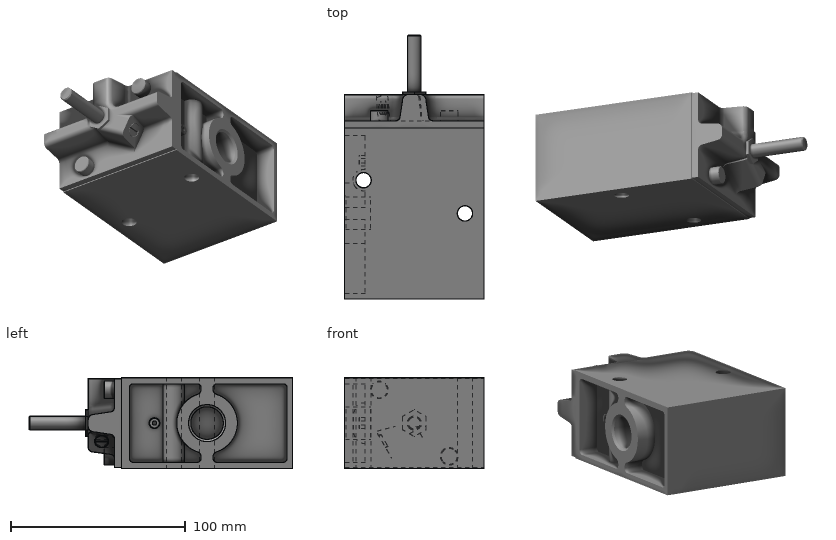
import math

import cadquery as cq

width = 80.0
body_length = 98.0
body_height = 52.0

lid_thickness = 4.0
lid_width = 79.8
lid_height = 51.0
rib_height = 15.0
rib_draft = 8.5
x_rib_half_width = 4.5
z_rib_half_width = 6.2
rib_corner_crest_radius = 5.8
rib_corner_root_radius = 4.8
rib_crest_radius = 3.0
rib_root_radius = 2.5
screw_rib_angle = 30.0
screw_rib_reach = 21.2
screw_rib_half_width = 6.5

slotted_screw_diameter = 7.48
slotted_screw_bore = 8.0
slotted_screw_y = 109.3
slotted_screw_groove_depth = 1.5
slot_width = 0.8
slot_depth = 1.5

lid_screw_diameter = 10.0
lid_screw_head_height = 6.0
lid_screw_x = 20.0
lid_screw_z = 19.0
lid_screw_chamfer = 0.4

overall_length = 151.0
rod_diameter = 8.0
rod_chamfer = 0.6
collar_across_corners = 15.3
collar_height = 1.5

mounting_hole_diameter = 8.6
mounting_hole_x = 29.0
mounting_hole_y = (68.0, 49.0)
hole_sleeve_diameter = 12.2

pocket_depth = 11.8
pocket_wall = 3.5
pocket_y_start = 3.2
pocket_y_end = 93.5
pocket_corner_radius = 2.4

port_y = body_length / 2
port_boss_diameter = 34.7
port_thread_diameter = 18.63
port_chamfer_diameter = 21.2
port_chamfer_depth = 1.0
port_depth = 15.0
port_web_width = 6.8
web_corner_radius = 3.0

nozzle_y = 79.1
nozzle_diameter = 6.15
nozzle_bore_diameter = 2.46
nozzle_height = 3.4
nozzle_chamfer = 0.3

edge_tolerance = 0.1

side_x = -width / 2
pocket_floor_x = side_x + pocket_depth
lid_top_y = body_length + lid_thickness
rib_flare = rib_height * math.tan(math.radians(rib_draft))
rib_top_y = lid_top_y + rib_height
y_axis = cq.Vector(0, 1, 0)


def x_cylinder(diameter, y, x_start, x_end):
    """Cylinder along X, centred on Z."""
    plane = cq.Workplane("YZ", origin=(x_start, y, 0))
    return plane.circle(diameter / 2).extrude(x_end - x_start)


def y_cylinder(diameter, x, z, y_start, y_end):
    """Cylinder along Y, its far end being the +Y one."""
    plane = cq.Workplane("XZ", origin=(x, y_start, z))
    return plane.circle(diameter / 2).extrude(y_start - y_end)


def hole_sleeve():
    """Round-nosed sleeve about the -X mounting hole, with flat flanks down to the pocket floor."""
    plane = cq.Workplane("XY", origin=(-mounting_hole_x, mounting_hole_y[0], -body_height / 2))
    nose = plane.circle(hole_sleeve_diameter / 2).extrude(body_height)
    flank_length = pocket_floor_x + mounting_hole_x
    flanks = plane.center(flank_length / 2, 0).rect(flank_length, hole_sleeve_diameter)
    return nose.union(flanks.extrude(body_height))


def pocket():
    """Side pocket as a tool, with the port boss, its web and the hole sleeve left standing."""
    pocket_plane = cq.Workplane("YZ", origin=(side_x, 0, 0))
    pocket_height = body_height - 2 * pocket_wall
    tool = (
        pocket_plane.center((pocket_y_start + pocket_y_end) / 2, 0)
        .rect(pocket_y_end - pocket_y_start, pocket_height)
        .extrude(pocket_depth)
    )
    web = (
        pocket_plane.center(port_y, 0)
        .rect(port_web_width, body_height)
        .extrude(pocket_depth)
    )
    boss = x_cylinder(port_boss_diameter, port_y, side_x, pocket_floor_x)
    tool = tool.cut(web)
    tool = tool.edges("|X").fillet(pocket_corner_radius)
    tool = tool.cut(boss)
    boss_radius = port_boss_diameter / 2
    junction_z = math.sqrt(boss_radius**2 - (port_web_width / 2) ** 2)
    junction_limit = junction_z + edge_tolerance
    near_junction = cq.selectors.BoxSelector(
        (side_x, port_y - port_web_width, -junction_limit),
        (pocket_floor_x, port_y + port_web_width, junction_limit),
    )
    tool = tool.edges("|X").edges(near_junction).fillet(web_corner_radius)
    return tool.cut(hole_sleeve())


def port_bore():
    """Blind port with a conical lead-in."""
    bore = x_cylinder(port_thread_diameter, port_y, side_x, side_x + port_depth)
    lead_in = cq.Solid.makeCone(
        port_chamfer_diameter / 2,
        port_thread_diameter / 2,
        port_chamfer_depth,
        cq.Vector(side_x, port_y, 0),
        cq.Vector(1, 0, 0),
    )
    return bore.union(cq.Workplane(lead_in))


def nozzle():
    tip_x = pocket_floor_x - nozzle_height
    tube = x_cylinder(nozzle_diameter, nozzle_y, tip_x, pocket_floor_x)
    tube = tube.faces("<X").chamfer(nozzle_chamfer)
    return tube.cut(x_cylinder(nozzle_bore_diameter, nozzle_y, tip_x, pocket_floor_x))


def mounting_hole(x, y):
    plane = cq.Workplane("XY", origin=(x, y, -body_height / 2))
    return plane.circle(mounting_hole_diameter / 2).extrude(body_height)


def body():
    block = cq.Workplane("XY").box(width, body_length, body_height, centered=(True, False, True))
    block = block.cut(pocket()).union(nozzle()).cut(port_bore())
    for x, y in zip((-mounting_hole_x, mounting_hole_x), mounting_hole_y):
        block = block.cut(mounting_hole(x, y))
    return block


def rib(direction, start, reach, half_width):
    """Drafted rib on the lid, running along a direction in the XZ plane up to the given reach."""
    plane = cq.Plane(
        origin=y_axis * lid_top_y + direction * start,
        xDir=y_axis.cross(direction),
        normal=direction,
    )
    root_half_width = half_width + rib_flare
    outline = [
        (-root_half_width, 0),
        (-half_width, rib_height),
        (half_width, rib_height),
        (root_half_width, 0),
    ]
    return cq.Workplane(plane).polyline(outline).close().extrude(reach - start)


def screw_rib_direction():
    angle = math.radians(screw_rib_angle)
    return cq.Vector(-math.cos(angle), 0, -math.sin(angle))


def lid_plate():
    plate = cq.Workplane("XY", origin=(0, body_length + lid_thickness / 2, 0))
    return plate.box(lid_width, lid_thickness, lid_height)


def edges_at_height(solid, y, is_rib_side):
    """Edges lying in the plane at the given Y that the test accepts by their mid-point."""
    in_plane = cq.selectors.BoxSelector(
        (-width, y - edge_tolerance, -width),
        (width, y + edge_tolerance, width),
        boundingbox=True,
    )
    return solid.edges(in_plane).filter(lambda edge: is_rib_side(edge.positionAt(0.5)))


def is_inside_lid(point):
    """True for a point away from the outer border of the lid."""
    inside_x = abs(point.x) < lid_width / 2 - edge_tolerance
    return inside_x and abs(point.z) < lid_height / 2 - edge_tolerance


def round_rib_sides(solid, is_rib_side):
    """Round the crest and the root along the rib sides; rib ends stay sharp."""
    solid = edges_at_height(solid, rib_top_y, is_rib_side).fillet(rib_crest_radius)
    return edges_at_height(solid, lid_top_y, is_rib_side).fillet(rib_root_radius)


def tee_outline(half_x_rib, half_z_rib, corner_radius, y):
    """T-shaped section at the given Y, with its two inner corners rounded."""
    half_length = lid_width / 2
    end_z = lid_height / 2
    tangent_x = half_z_rib + corner_radius
    tangent_z = half_x_rib + corner_radius
    arc_offset = corner_radius * (1 - math.sqrt(0.5))
    middle_x = half_z_rib + arc_offset
    middle_z = half_x_rib + arc_offset
    return (
        cq.Workplane("XZ", origin=(0, y, 0))
        .moveTo(-half_length, -half_x_rib)
        .lineTo(half_length, -half_x_rib)
        .lineTo(half_length, half_x_rib)
        .lineTo(tangent_x, half_x_rib)
        .threePointArc((middle_x, middle_z), (half_z_rib, tangent_z))
        .lineTo(half_z_rib, end_z)
        .lineTo(-half_z_rib, end_z)
        .lineTo(-half_z_rib, tangent_z)
        .threePointArc((-middle_x, middle_z), (-tangent_x, half_x_rib))
        .lineTo(-half_length, half_x_rib)
        .close()
        .val()
    )


def tee_ribs():
    """Lid with the full-width rib and the rib that leaves it towards +Z."""
    root = tee_outline(
        x_rib_half_width + rib_flare, z_rib_half_width + rib_flare, rib_corner_root_radius, lid_top_y
    )
    crest = tee_outline(x_rib_half_width, z_rib_half_width, rib_corner_crest_radius, rib_top_y)
    tee = cq.Workplane(cq.Solid.makeLoft([root, crest], True))
    return round_rib_sides(tee.union(lid_plate()), is_inside_lid)


def oblique_rib():
    """Lid with the rib that carries the slotted screw in its end."""
    direction = screw_rib_direction()
    side_direction = y_axis.cross(direction)
    solid = lid_plate().union(rib(direction, 0, screw_rib_reach, screw_rib_half_width))

    def is_rib_side(point):
        off_axis = abs(point.dot(side_direction))
        along = point.dot(direction)
        on_side = off_axis > screw_rib_half_width / 2
        within_reach = edge_tolerance < along < screw_rib_reach - edge_tolerance
        return on_side and within_reach and is_inside_lid(point)

    return round_rib_sides(solid, is_rib_side)


def slotted_screw():
    """Groove around the screw head and the slot across it, as a tool, in the end face of the oblique rib."""
    direction = screw_rib_direction()
    plane = cq.Plane(
        origin=y_axis * slotted_screw_y + direction * screw_rib_reach,
        xDir=y_axis,
        normal=direction,
    )
    groove = (
        cq.Workplane(plane)
        .circle(slotted_screw_bore / 2)
        .circle(slotted_screw_diameter / 2)
        .extrude(-slotted_screw_groove_depth)
    )
    slot = cq.Workplane(plane).rect(slotted_screw_diameter, slot_width).extrude(-slot_depth)
    return groove.union(slot)


def lid_screw(x, z):
    head = y_cylinder(lid_screw_diameter, x, z, lid_top_y, lid_top_y + lid_screw_head_height)
    return head.faces(">Y").chamfer(lid_screw_chamfer)


def collar():
    """Hexagonal collar with two corners on the Z axis."""
    plane = cq.Workplane("XZ", origin=(0, rib_top_y, 0))
    hexagon = plane.transformed(rotate=(0, 0, 90)).polygon(6, collar_across_corners)
    return hexagon.extrude(-collar_height)


def rod():
    shaft = y_cylinder(rod_diameter, 0, 0, rib_top_y, overall_length)
    return shaft.faces(">Y").chamfer(rod_chamfer)


def lid():
    cover = tee_ribs().union(oblique_rib()).cut(slotted_screw())
    for side in (-1, 1):
        cover = cover.union(lid_screw(side * lid_screw_x, -side * lid_screw_z))
    return cover.union(collar()).union(rod())


result = body().union(lid())